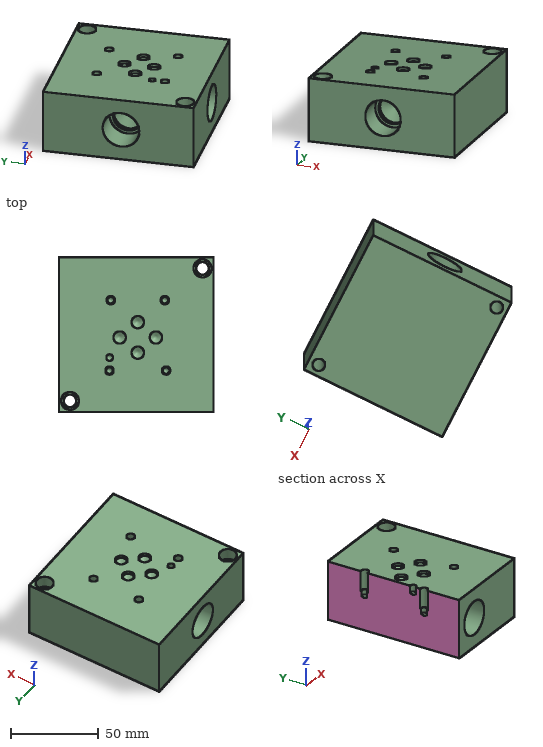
import cadquery as cq
import math

LENGTH = 88.9
WIDTH = 88.9
HEIGHT = 38.1

DRILL_POINT_ANGLE = 118.0
POINT_HEIGHT_PER_RADIUS = 1 / math.tan(math.radians(DRILL_POINT_ANGLE / 2))

MOUNT_INSET = 6.4
MOUNT_DIAMETER = 7.2
MOUNT_BORE_DIAMETER = 10.3
MOUNT_BORE_DEPTH = 8.0

VALVE_X = 45.3
VALVE_Y = 42.85
PASSAGE_DIAMETER = 7.1
PASSAGE_DEPTH = 1.8
PASSAGE_SPACING_X = 20.8
PASSAGE_SPACING_Y = 17.5

BOLT_THREAD_DIAMETER = 4.8
BOLT_DRILL_DIAMETER = 3.8
BOLT_THREAD_DEPTH = 12.7
BOLT_DRILL_DEPTH = 16.0
REAR_BOLT_SPACING = 31.0
REAR_BOLT_OFFSET = 21.4
FRONT_BOLT_SPACING = 32.5
FRONT_BOLT_OFFSET = 19.0

PIN_DIAMETER = 3.8
PIN_DEPTH = 4.45
PIN_OFFSET_X = 16.2
PIN_OFFSET_Y = 11.6

PORT_THREAD_DIAMETER = 21.6
PORT_DRILL_DIAMETER = 17.5
PORT_THREAD_DEPTH = 16.9
PORT_DRILL_DEPTH = 19.6
PORT_Z = HEIGHT / 2

DOWN = cq.Vector(0, 0, -1)
INTO_FRONT = cq.Vector(0, 1, 0)
INTO_LEFT = cq.Vector(1, 0, 0)


def drilled_hole(mouth, direction, diameter, depth):
    """Cylinder of the given full-diameter depth, ending in a drill point."""
    radius = diameter / 2
    shaft = cq.Solid.makeCylinder(radius, depth, mouth, direction)
    point_height = radius * POINT_HEIGHT_PER_RADIUS
    point = cq.Solid.makeCone(radius, 0, point_height, mouth + direction * depth, direction)
    return shaft.fuse(point)


def threaded_hole(mouth, direction, thread_diameter, thread_depth, drill_diameter, drill_depth):
    """Drilled hole widened to the thread diameter over the threaded depth."""
    thread = cq.Solid.makeCylinder(thread_diameter / 2, thread_depth, mouth, direction)
    return thread.fuse(drilled_hole(mouth, direction, drill_diameter, drill_depth))


def on_top(offset_x, offset_y):
    """Point on the top face, measured from the centre of the valve interface."""
    return cq.Vector(VALVE_X + offset_x, VALVE_Y + offset_y, HEIGHT)


mount_points = [(MOUNT_INSET, MOUNT_INSET), (LENGTH - MOUNT_INSET, WIDTH - MOUNT_INSET)]
block = (
    cq.Workplane("XY")
    .box(LENGTH, WIDTH, HEIGHT, centered=False)
    .faces(">Z")
    .workplane(origin=(0, 0, HEIGHT))
    .pushPoints(mount_points)
    .cboreHole(MOUNT_DIAMETER, MOUNT_BORE_DIAMETER, MOUNT_BORE_DEPTH)
)

passages = []
bolt_holes = []
for side in (-1, 1):
    for mouth in (on_top(side * PASSAGE_SPACING_X / 2, 0), on_top(0, side * PASSAGE_SPACING_Y / 2)):
        passages.append(drilled_hole(mouth, DOWN, PASSAGE_DIAMETER, PASSAGE_DEPTH))
    for mouth in (
        on_top(side * REAR_BOLT_SPACING / 2, REAR_BOLT_OFFSET),
        on_top(side * FRONT_BOLT_SPACING / 2, -FRONT_BOLT_OFFSET),
    ):
        bolt_holes.append(
            threaded_hole(
                mouth, DOWN,
                BOLT_THREAD_DIAMETER, BOLT_THREAD_DEPTH,
                BOLT_DRILL_DIAMETER, BOLT_DRILL_DEPTH,
            )
        )
pin_hole = drilled_hole(on_top(-PIN_OFFSET_X, -PIN_OFFSET_Y), DOWN, PIN_DIAMETER, PIN_DEPTH)

ports = [
    threaded_hole(
        mouth, direction,
        PORT_THREAD_DIAMETER, PORT_THREAD_DEPTH,
        PORT_DRILL_DIAMETER, PORT_DRILL_DEPTH,
    )
    for mouth, direction in (
        (cq.Vector(VALVE_X, 0, PORT_Z), INTO_FRONT),
        (cq.Vector(0, VALVE_Y, PORT_Z), INTO_LEFT),
    )
]

result = block
for hole in passages + bolt_holes + [pin_hole] + ports:
    result = result.cut(cq.Workplane(hole))